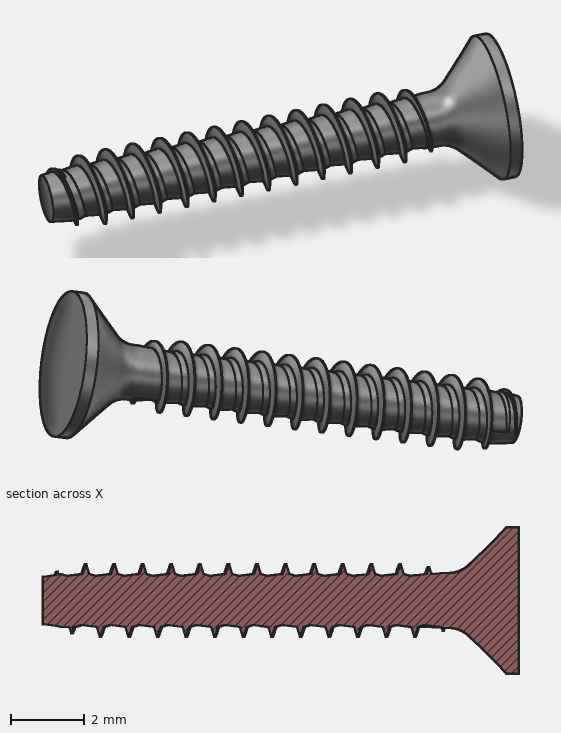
import cadquery as cq
import math


length = 13.0
head_radius = 2.0
rim_height = 0.34
neck_fillet = 0.8
cone_angle = math.radians(45)

shank_radius = 0.75
shank_end = 2.09
core_radius = 0.73
core_start = 2.4
tip_radius = 0.65
tip_length = 0.52

pitch = 0.78
crest_radius = 1.0
crest_half_width = 0.01
flank_run = 0.3
base_radius = 0.6
thread_start = 2.07
start_angle = -90
runin_turns = 1.0
full_turns = 11.5
runout_turns = 1.4
runin_crest = 0.83
runout_crest = 0.72
stretch_count = 3

relief_radius = 0.68
relief_top_radius = 0.735
relief_bottom_offset = 0.27
relief_near_offset = 0.08
relief_far_offset = 0.74



def turned_body():
    """Head, neck fillet, shank, core and tapered tip as one turned solid."""
    arc_top_radius = shank_radius + neck_fillet * (1 - math.cos(cone_angle))
    arc_top = rim_height + (head_radius - arc_top_radius) / math.tan(cone_angle)
    arc_end = arc_top + neck_fillet * math.sin(cone_angle)
    half_angle = cone_angle / 2
    arc_mid_radius = shank_radius + neck_fillet * (1 - math.cos(half_angle))
    arc_mid = arc_end - neck_fillet * math.sin(half_angle)
    return (
        cq.Workplane("XZ")
        .lineTo(head_radius, 0)
        .lineTo(head_radius, rim_height)
        .lineTo(arc_top_radius, arc_top)
        .threePointArc((arc_mid_radius, arc_mid), (shank_radius, arc_end))
        .lineTo(shank_radius, shank_end)
        .lineTo(core_radius, core_start)
        .lineTo(core_radius, length - tip_length)
        .lineTo(tip_radius, length)
        .lineTo(0, length)
        .close()
        .revolve(360, (0, 0, 0), (0, 1, 0))
        .val()
    )


def helix(start, end, turns):
    """Helical edge from one (radius, depth) point to another, cylindrical or conical."""
    rise = end[1] - start[1]
    growth = end[0] - start[0]
    origin = cq.Vector(0, 0, start[1])
    if growth == 0:
        wire = cq.Wire.makeHelix(rise / turns, rise, start[0], origin)
    else:
        slant = math.hypot(rise, growth)
        taper = math.degrees(math.atan2(growth, rise))
        wire = cq.Wire.makeHelix(slant / turns, slant, start[0], origin, angle=taper)
    return wire.Edges()[0]


def helical_solid(start_section, end_section, turns, first_turn):
    """Solid swept helically while its (radius, depth) section changes steadily."""
    edges = [helix(a, b, turns) for a, b in zip(start_section, end_section)]
    faces = [cq.Face.makeRuledSurface(a, b) for a, b in zip(edges, edges[1:] + edges[:1])]
    for at_end in (0, 1):
        corners = [edge.positionAt(at_end) for edge in edges]
        faces.append(cq.Face.makeFromWires(cq.Wire.makePolygon(corners, close=True)))
    solid = cq.Solid.makeSolid(cq.Shell.makeShell(faces)).fix()
    angle = 360 * first_turn + start_angle
    return solid.rotate(cq.Vector(0, 0, 0), cq.Vector(0, 0, 1), angle)


def depth_at(turn):
    """Depth of the ridge centre after this many turns."""
    return thread_start + pitch * turn


def ridge_section(crest, turn):
    """Trapezoid with fixed flanks; a lower crest gives a narrower base."""
    base_half_width = crest_half_width + flank_run * (crest - base_radius)
    centre = depth_at(turn)
    return [
        (base_radius, centre - base_half_width),
        (crest, centre - crest_half_width),
        (crest, centre + crest_half_width),
        (base_radius, centre + base_half_width),
    ]


def relief_section(turn):
    """Shallow triangle on the head side of the ridge, with its long side just outside the core."""
    centre = depth_at(turn)
    return [
        (relief_top_radius, centre - relief_far_offset),
        (relief_radius, centre - relief_bottom_offset),
        (relief_top_radius, centre - relief_near_offset),
    ]


def ridge_solids():
    """Run-in, full-height stretches and run-out, joined end to end."""
    stretches = [(runin_turns, runin_crest, crest_radius)]
    stretches += [(full_turns / stretch_count, crest_radius, crest_radius)] * stretch_count
    stretches += [(runout_turns, crest_radius, runout_crest)]
    solids = []
    turn = 0.0
    for turns, first_crest, last_crest in stretches:
        first = ridge_section(first_crest, turn)
        last = ridge_section(last_crest, turn + turns)
        solids.append(helical_solid(first, last, turns, turn))
        turn += turns
    return solids


def relief_solids():
    """Relief from the end of the run-in to the end of the run-out."""
    turns = (full_turns + runout_turns) / stretch_count
    solids = []
    for i in range(stretch_count):
        turn = runin_turns + i * turns
        solids.append(helical_solid(relief_section(turn), relief_section(turn + turns), turns, turn))
    return solids


screw = turned_body().cut(*relief_solids()).fuse(*ridge_solids())
result = cq.Workplane(screw.rotate(cq.Vector(0, 0, 0), cq.Vector(1, 0, 0), 90))